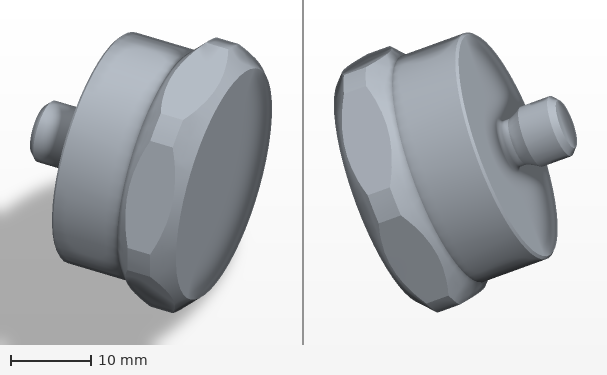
import cadquery as cq
import math

corner_radius = 17.5
across_flats = 32.0
head_length = 8.0

body_radius = 15.0
body_length = 9.0
body_chamfer = 0.3

pin_radius = 4.0
pin_length = 8.0
tip_chamfer = 0.8
shoulder_x = 4.8
neck_x = 6.6
neck_radius = 3.05
neck_fillet = 0.52
taper_sag = 0.07

head_x = pin_length + body_length
end_x = head_x + head_length
head_chamfer = corner_radius - body_radius


def make_pin():
    """Turned pin with a chamfered tip, hollow taper and filleted neck."""
    run = neck_x - shoulder_x
    drop = pin_radius - neck_radius
    slope_length = math.hypot(run, drop)
    taper_mid = (
        (shoulder_x + neck_x) / 2 - taper_sag * drop / slope_length,
        (pin_radius + neck_radius) / 2 - taper_sag * run / slope_length,
    )
    fillet_x = pin_length - neck_fillet
    fillet_offset = neck_fillet * (1 - math.sqrt(0.5))
    return (
        cq.Workplane("XY")
        .lineTo(0, pin_radius - tip_chamfer)
        .lineTo(tip_chamfer, pin_radius)
        .lineTo(shoulder_x, pin_radius)
        .threePointArc(taper_mid, (neck_x, neck_radius))
        .lineTo(fillet_x, neck_radius)
        .threePointArc(
            (pin_length - fillet_offset, neck_radius + fillet_offset),
            (pin_length, neck_radius + neck_fillet),
        )
        .lineTo(pin_length, 0)
        .close()
        .revolve(360, (0, 0, 0), (1, 0, 0))
    )


def make_body():
    """Round body, chamfered around the face that carries the pin."""
    return (
        cq.Workplane("YZ", origin=(pin_length, 0, 0))
        .circle(body_radius)
        .extrude(body_length)
        .faces("<X")
        .chamfer(body_chamfer)
    )


def make_head():
    """Hexagon with corners along Y, turned down at both ends by 45 degree cones."""
    hexagon = (
        cq.Workplane("YZ", origin=(head_x, 0, 0))
        .polygon(6, across_flats / math.cos(math.pi / 6))
        .extrude(head_length)
    )
    turned_blank = (
        cq.Workplane("YZ", origin=(head_x, 0, 0))
        .circle(corner_radius)
        .extrude(head_length)
        .faces("<X or >X")
        .chamfer(head_chamfer)
    )
    return hexagon.intersect(turned_blank)


result = make_head().union(make_body()).union(make_pin())